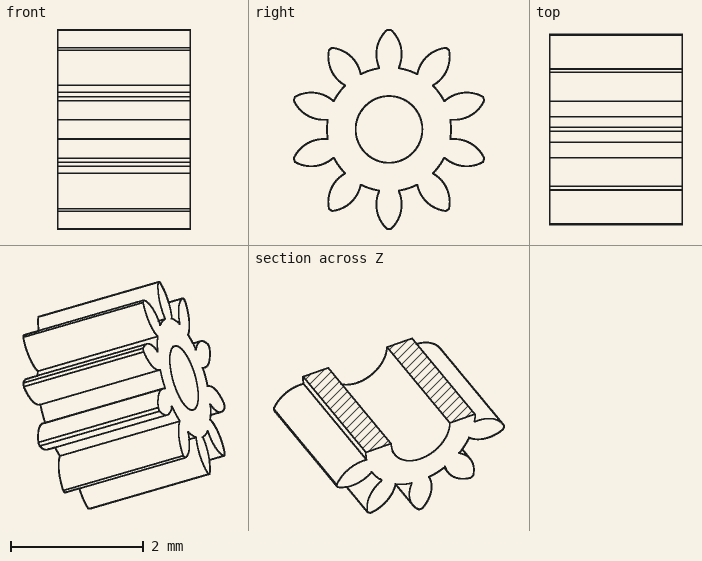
import cadquery as cq
import math

length = 2.0
tooth_count = 10
tip_radius = 1.5
root_radius = 0.935
bore_radius = 0.5

tip_half_width = 0.03
widest_half_width = 0.192
widest_height = 1.145
root_half_width = 0.147


def height_on_circle(radius, half_width):
    """Distance from the axis, along the tooth centreline, of a point on a circle."""
    return math.sqrt(radius**2 - half_width**2)


def make_tooth():
    """One tooth pointing along +Z, reaching down into the hub."""
    root_height = height_on_circle(root_radius, root_half_width)
    tip_height = height_on_circle(tip_radius, tip_half_width)
    embedded_height = (bore_radius + root_radius) / 2
    return (
        cq.Workplane("YZ")
        .moveTo(-root_half_width, embedded_height)
        .lineTo(-root_half_width, root_height)
        .threePointArc((-widest_half_width, widest_height), (-tip_half_width, tip_height))
        .threePointArc((0, tip_radius), (tip_half_width, tip_height))
        .threePointArc((widest_half_width, widest_height), (root_half_width, root_height))
        .lineTo(root_half_width, embedded_height)
        .close()
        .extrude(length / 2, both=True)
    )


result = cq.Workplane("YZ").circle(root_radius).extrude(length / 2, both=True)

tooth = make_tooth()
for index in range(tooth_count):
    angle = index * 360 / tooth_count
    result = result.union(tooth.rotate((0, 0, 0), (1, 0, 0), angle))

bore = cq.Workplane("YZ").circle(bore_radius).extrude(length / 2, both=True)
result = result.cut(bore)